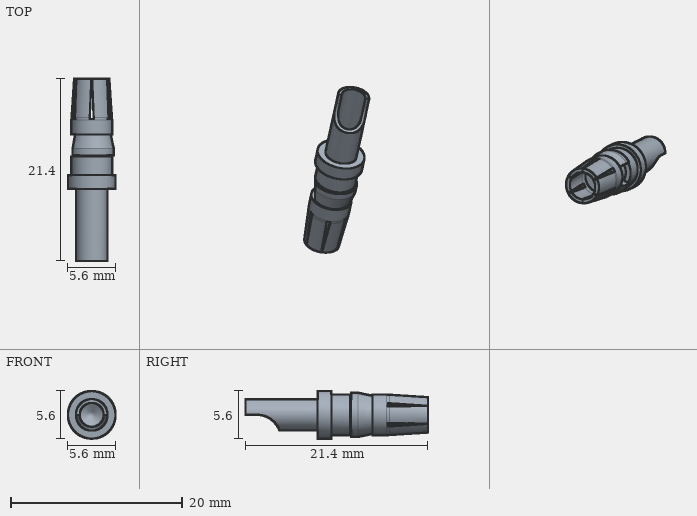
import math

import cadquery as cq

total_length = 21.35

cup_diameter = 3.7
cup_bore_diameter = 2.8
cup_length = 8.45
cup_bore_depth = 7.0
drill_point_angle = 118.0
cutaway_flat_length = 1.35
cutaway_radius = 2.8

flange_diameter = 5.6
flange_length = 1.6
collar_diameter = 4.8
rear_collar_length = 2.2

groove_diameter = 3.6
groove_length = 2.58
ring_diameter = 5.2
ring_small_diameter = 4.5
ring_cone_length = 1.67
ring_band_length = 0.8
ring_gap_angle = 60.0

finger_count = 6
finger_tip_diameter = 4.16
finger_root_diameter = 4.76
finger_length = 4.53
finger_root_blend = 0.3
slot_length = 4.7
slot_tip_width = 0.06
slot_root_width = 0.44
socket_diameter = 3.81
socket_tip_diameter = 3.2
socket_depth = 5.6

flange_front = cup_length + flange_length
groove_start = flange_front + rear_collar_length
groove_end = groove_start + groove_length
finger_root = total_length - finger_length
front_collar_end = finger_root - finger_root_blend
slot_root = total_length - slot_length


def revolve_profile(points):
    """Turn a closed outline of (radius, y) points around the Y axis."""
    return cq.Workplane("XY").polyline(points).close().revolve(360, (0, 0, 0), (0, 1, 0))


def make_body():
    """Turned outside of the contact, without the ring."""
    return revolve_profile([
        (0, 0),
        (cup_diameter / 2, 0),
        (cup_diameter / 2, cup_length),
        (flange_diameter / 2, cup_length),
        (flange_diameter / 2, flange_front),
        (collar_diameter / 2, flange_front),
        (collar_diameter / 2, groove_start),
        (groove_diameter / 2, groove_start),
        (groove_diameter / 2, groove_end),
        (collar_diameter / 2, groove_end),
        (collar_diameter / 2, front_collar_end),
        (finger_root_diameter / 2, finger_root),
        (finger_tip_diameter / 2, total_length),
        (0, total_length),
    ])


def make_snap_ring():
    """Tapered ring seated in the groove against the front collar, open toward -X."""
    band_front = groove_end - ring_cone_length
    band_back = band_front - ring_band_length
    ring = revolve_profile([
        (groove_diameter / 2, band_back),
        (ring_diameter / 2, band_back),
        (ring_diameter / 2, band_front),
        (ring_small_diameter / 2, groove_end),
        (groove_diameter / 2, groove_end),
    ])
    wedge_reach = ring_diameter
    wedge_half_height = wedge_reach * math.tan(math.radians(ring_gap_angle / 2))
    gap = (
        cq.Workplane("XZ", origin=(0, groove_end, 0))
        .polyline([(0, 0), (-wedge_reach, wedge_half_height), (-wedge_reach, -wedge_half_height)])
        .close()
        .extrude(groove_length)
    )
    return ring.cut(gap)


def make_cup_bore():
    """Blind drilled hole of the solder cup with a conical end."""
    radius = cup_bore_diameter / 2
    point_length = radius / math.tan(math.radians(drill_point_angle / 2))
    return revolve_profile([
        (0, 0),
        (radius, 0),
        (radius, cup_bore_depth),
        (0, cup_bore_depth + point_length),
    ])


def make_cup_cutaway():
    """Opens the lower half of the cup end: a flat on the axis that curves down through the wall."""
    arc_middle_angle = math.radians(45)
    arc_middle = (
        cutaway_flat_length + cutaway_radius * math.sin(arc_middle_angle),
        -cutaway_radius * (1 - math.cos(arc_middle_angle)),
    )
    return (
        cq.Workplane("YZ")
        .moveTo(0, 0)
        .lineTo(cutaway_flat_length, 0)
        .threePointArc(arc_middle, (cutaway_flat_length + cutaway_radius, -cutaway_radius))
        .lineTo(0, -cutaway_radius)
        .close()
        .extrude(cup_diameter, both=True)
    )


def make_socket():
    """Blind socket inside the fingers, narrowing toward the tip."""
    return revolve_profile([
        (0, total_length - socket_depth),
        (socket_diameter / 2, total_length - socket_depth),
        (socket_diameter / 2, finger_root),
        (socket_tip_diameter / 2, total_length),
        (0, total_length),
    ])


def make_finger_slot(angle):
    """Slot on one side of the axis, widening from the tip to the root; angle is about Y."""
    slot = (
        cq.Workplane("XY")
        .polyline([
            (-slot_root_width / 2, slot_root),
            (slot_root_width / 2, slot_root),
            (slot_tip_width / 2, total_length),
            (-slot_tip_width / 2, total_length),
        ])
        .close()
        .extrude(collar_diameter)
    )
    return slot.rotate((0, 0, 0), (0, 1, 0), angle)


result = make_body().union(make_snap_ring())
result = result.cut(make_cup_bore()).cut(make_cup_cutaway()).cut(make_socket())
for index in range(finger_count):
    result = result.cut(make_finger_slot(index * 360 / finger_count))